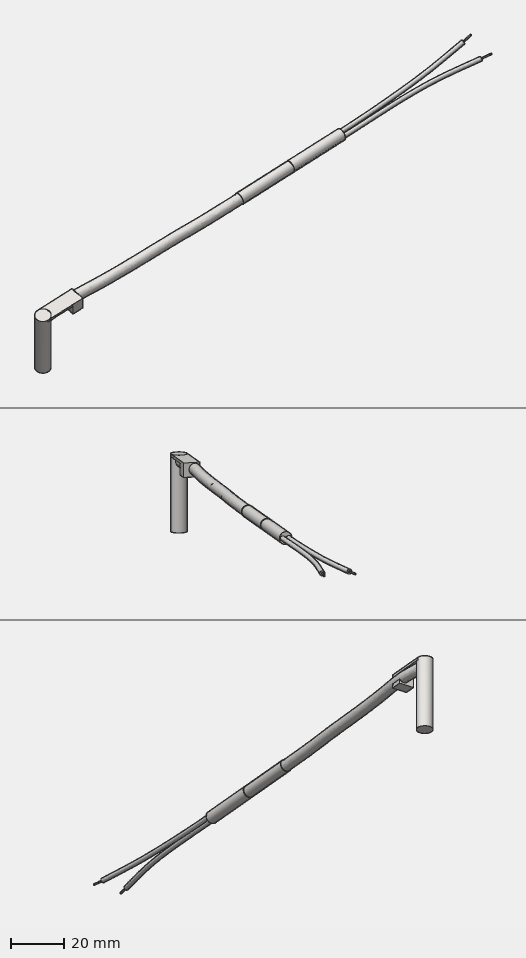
import cadquery as cq

PIN_RADIUS = 3.15
PIN_LENGTH = 30.0
TOTAL_LENGTH = 217.0
TIP_TILT_ALLOWANCE = 0.05
WIRE_TIP_Y = TOTAL_LENGTH - PIN_RADIUS - TIP_TILT_ALLOWANCE

SLEEVE_RADIUS = 2.5
SLEEVE_LENGTH = 25.0
SLEEVE_START_Y = 95.0
SLEEVE_JOINT_Y = SLEEVE_START_Y + SLEEVE_LENGTH
SLEEVE_END_Y = SLEEVE_JOINT_Y + SLEEVE_LENGTH
SLEEVE_X = 1.3
AXIS_Z = -2.5

CABLE_RADIUS = 2.28
CABLE_BENDS = [(0.0, 0.0), (-1.25, 11.3), (-0.55, 26.3), (0.7, 64.2), (SLEEVE_X, SLEEVE_START_Y)]

PLATE_THICKNESS = 1.0
PLATE_END_Y = 17.0
CLIP_LENGTH = 4.8
CLIP_BOTTOM_Z = -5.6

INSULATION_RADIUS = 0.98
CONDUCTOR_RADIUS = 0.33
INSULATION_END_Y = 209.1
WIRE_SPACING = 2.4
LEFT_WIRE_X = SLEEVE_X - WIRE_SPACING / 2
RIGHT_WIRE_X = SLEEVE_X + WIRE_SPACING / 2

LEFT_WIRE_BENDS = [(-0.7, 172.0), (-2.2, 191.5), (-4.5, INSULATION_END_Y)]
RIGHT_WIRE_BENDS = [(2.4, 172.0), (3.5, 191.5), (6.0, INSULATION_END_Y)]
LEFT_TIP_X = -5.5
RIGHT_TIP_X = 6.7


def cylinder_along_y(radius, x, start_y, end_y):
    """Straight round bar parallel to Y at the height of the cable."""
    plane = cq.Plane(origin=(x, start_y, AXIS_Z), xDir=(1, 0, 0), normal=(0, 1, 0))
    return cq.Workplane(plane).circle(radius).extrude(end_y - start_y)


def swept_bar(radius, bends, start_direction, end_direction):
    """Round bar along a smooth curve through (X, Y) points at the cable height."""
    points = [cq.Vector(x, y, AXIS_Z) for x, y in bends]
    curve = cq.Edge.makeSpline(points, tangents=[start_direction, end_direction])
    plane = cq.Plane(origin=points[0], xDir=(0, 0, 1), normal=start_direction)
    return cq.Workplane(plane).circle(radius).sweep(cq.Workplane(cq.Wire.assembleEdges([curve])))


def direction(start, end):
    """Unit vector from one (X, Y) point to another."""
    return cq.Vector(end[0] - start[0], end[1] - start[1], 0).normalized()


def block(start_y, end_y, bottom_z, top_z):
    """Rectangular block as wide as the pin."""
    return cq.Workplane("XY").box(
        2 * PIN_RADIUS, end_y - start_y, top_z - bottom_z, centered=(True, False, False)
    ).translate((0, start_y, bottom_z))


def make_pin():
    return cq.Workplane("XY").circle(PIN_RADIUS).extrude(-PIN_LENGTH)


def make_cable(pin):
    """Curved from the pin to the first sleeve, then straight up to the sleeve joint."""
    curved = swept_bar(
        CABLE_RADIUS, CABLE_BENDS, direction(CABLE_BENDS[0], CABLE_BENDS[1]), cq.Vector(0, 1, 0)
    )
    straight = cylinder_along_y(CABLE_RADIUS, SLEEVE_X, SLEEVE_START_Y, SLEEVE_JOINT_Y)
    return curved.union(straight).cut(pin)


def make_bracket(pin, cable):
    """Flat cover and clip in one piece, fitted round the pin and the cable."""
    plate = block(0, PLATE_END_Y, -PLATE_THICKNESS, 0)
    clip = block(PLATE_END_Y - CLIP_LENGTH, PLATE_END_Y, CLIP_BOTTOM_Z, 0)
    return plate.union(clip).cut(pin).cut(cable)


def make_sleeve(start_y, contents):
    """Sleeve with holes that match the bodies running through it."""
    sleeve = cylinder_along_y(SLEEVE_RADIUS, SLEEVE_X, start_y, start_y + SLEEVE_LENGTH)
    for body in contents:
        sleeve = sleeve.cut(body)
    return sleeve


def wire_layer(radius, start_x, bends):
    """Straight inside the second sleeve, then bending outwards through the given points."""
    straight = cylinder_along_y(radius, start_x, SLEEVE_JOINT_Y, SLEEVE_END_Y)
    curve_points = [(start_x, SLEEVE_END_Y), *bends]
    curved = swept_bar(radius, curve_points, cq.Vector(0, 1, 0), direction(bends[-2], bends[-1]))
    return straight.union(curved)


def make_conductor(start_x, bends, tip_x):
    """Core of a wire, running on past the insulation to its bare tip."""
    return wire_layer(CONDUCTOR_RADIUS, start_x, [*bends, (tip_x, WIRE_TIP_Y)])


def make_insulation(start_x, bends, conductor):
    return wire_layer(INSULATION_RADIUS, start_x, bends).cut(conductor)


pin = make_pin()
cable = make_cable(pin)
bracket = make_bracket(pin, cable)

conductors = []
insulations = []
for start_x, bends, tip_x in (
    (LEFT_WIRE_X, LEFT_WIRE_BENDS, LEFT_TIP_X),
    (RIGHT_WIRE_X, RIGHT_WIRE_BENDS, RIGHT_TIP_X),
):
    conductor = make_conductor(start_x, bends, tip_x)
    conductors.append(conductor)
    insulations.append(make_insulation(start_x, bends, conductor))

sleeve_contents = ((SLEEVE_START_Y, [cable]), (SLEEVE_JOINT_Y, [*insulations, *conductors]))
sleeves = [make_sleeve(start_y, contents) for start_y, contents in sleeve_contents]

result = cq.Compound.makeCompound(
    [body.solids().val() for body in (pin, bracket, cable, *sleeves, *insulations, *conductors)]
)